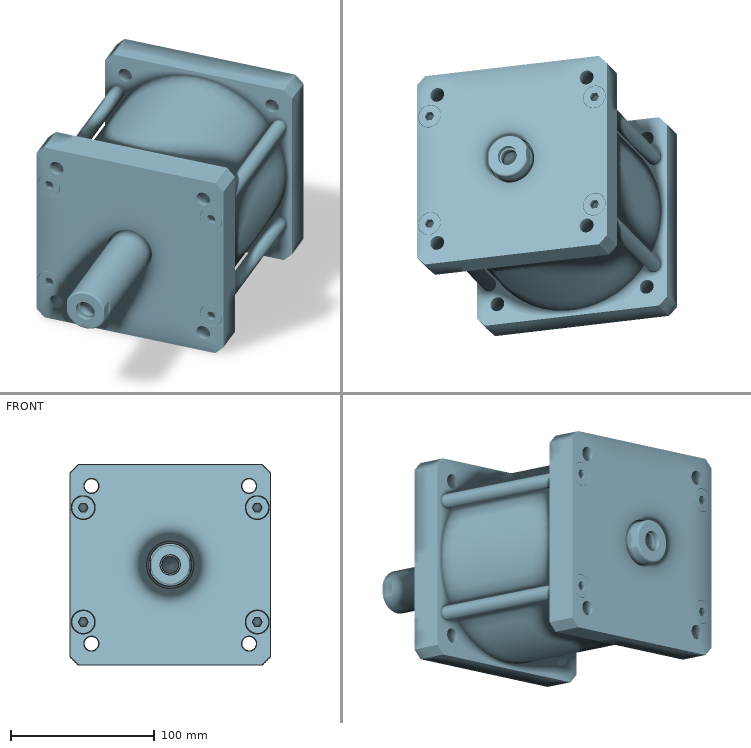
import cadquery as cq
import math


cover_size = 140.0
cover_thickness = 22.0
corner_chamfer = 6.0
barrel_length = 108.9
barrel_diameter = 132.0

mount_hole_diameter = 10.2
mount_hole_offset = 55.0

tie_rod_diameter = 10.0
tie_rod_x = 60.8
tie_rod_z = 40.0
screw_head_diameter = 16.0
screw_head_height = 10.0
counterbore_diameter = 16.5
socket_across_flats = 6.0
socket_depth = 5.0

rod_diameter = 30.0
rod_back_extension = 10.0
rod_front_extension = 85.0
rod_end_fillet = 1.5
rod_clearance_diameter = 33.0
rod_clearance_depth = 5.0

flats_across = 27.8
flat_length = 8.7

end_hole_diameter = 12.0
end_hole_mouth_diameter = 14.1
end_hole_mouth_depth = 4.0
end_hole_depth = 24.8
drill_point_angle = 118

cover_inner_y = barrel_length / 2
cover_outer_y = cover_inner_y + cover_thickness
rod_front_y = -cover_outer_y - rod_front_extension
rod_back_y = cover_outer_y + rod_back_extension
tie_rod_points = [(x, z) for x in (-tie_rod_x, tie_rod_x) for z in (-tie_rod_z, tie_rod_z)]


def plane_along_y(y, direction):
    """Workplane at height y whose local X is global X and whose normal is +Y or -Y."""
    return cq.Workplane(cq.Plane(origin=(0, y, 0), xDir=(1, 0, 0), normal=(0, direction, 0)))


def make_cover(inner_y, direction):
    mount_pitch = 2 * mount_hole_offset
    return (
        plane_along_y(inner_y, direction)
        .rect(cover_size, cover_size)
        .extrude(cover_thickness)
        .edges("|Y")
        .chamfer(corner_chamfer)
        .faces("<Y")
        .workplane(origin=(0, inner_y, 0))
        .rect(mount_pitch, mount_pitch, forConstruction=True)
        .vertices()
        .hole(mount_hole_diameter)
    )


def screw_cuts(outer_y, direction):
    """Gap around each flush screw head, and the hexagon socket in the head."""
    inward = plane_along_y(outer_y, -direction).pushPoints(tie_rod_points)
    head_gaps = inward.circle(counterbore_diameter / 2).circle(screw_head_diameter / 2).extrude(screw_head_height)
    socket_across_corners = socket_across_flats / math.cos(math.radians(30))
    sockets = inward.polygon(6, socket_across_corners).extrude(socket_depth)
    return head_gaps.union(sockets)


def rod_clearance(outer_y, direction):
    return (
        plane_along_y(outer_y, -direction)
        .circle(rod_clearance_diameter / 2)
        .circle(rod_diameter / 2)
        .extrude(rod_clearance_depth)
    )


def end_hole(end_y, direction):
    """Drilled hole with a wider, flat-bottomed mouth, revolved about the rod axis."""
    hole_radius = end_hole_diameter / 2
    mouth_radius = end_hole_mouth_diameter / 2
    point_length = hole_radius / math.tan(math.radians(drill_point_angle / 2))
    inward = -direction
    return (
        cq.Workplane("XY")
        .moveTo(0, end_y)
        .lineTo(mouth_radius, end_y)
        .lineTo(mouth_radius, end_y + inward * end_hole_mouth_depth)
        .lineTo(hole_radius, end_y + inward * end_hole_mouth_depth)
        .lineTo(hole_radius, end_y + inward * end_hole_depth)
        .lineTo(0, end_y + inward * (end_hole_depth + point_length))
        .close()
        .revolve(360, (0, 0, 0), (0, 1, 0))
    )


def wrench_flats(end_y, direction):
    """Material removed on the +X and -X sides of one rod end."""
    flat_x = flats_across / 2
    outside_x = rod_diameter / 2 + 2.5
    shoulder = outside_x - flat_x
    shoulder_y = end_y - direction * flat_length
    one_side = (
        cq.Workplane("XY")
        .moveTo(flat_x, end_y)
        .lineTo(flat_x, shoulder_y)
        .lineTo(outside_x, shoulder_y - direction * shoulder)
        .lineTo(outside_x, end_y)
        .close()
        .extrude(rod_diameter / 2, both=True)
    )
    return one_side.union(one_side.mirror("YZ"))


def make_piston_rod():
    rod = (
        plane_along_y(rod_front_y, 1)
        .circle(rod_diameter / 2)
        .extrude(rod_back_y - rod_front_y)
        .faces("<Y or >Y")
        .fillet(rod_end_fillet)
    )
    for end_y, direction in ((rod_front_y, -1), (rod_back_y, 1)):
        rod = rod.cut(wrench_flats(end_y, direction))
        rod = rod.cut(end_hole(end_y, direction))
    return rod


barrel = plane_along_y(-cover_inner_y, 1).circle(barrel_diameter / 2).extrude(barrel_length)
tie_rods = (
    plane_along_y(-cover_inner_y, 1)
    .pushPoints(tie_rod_points)
    .circle(tie_rod_diameter / 2)
    .extrude(barrel_length)
)

result = barrel.union(tie_rods)
for side in (-1, 1):
    result = result.union(make_cover(side * cover_inner_y, side))
    result = result.cut(screw_cuts(side * cover_outer_y, side))
    result = result.cut(rod_clearance(side * cover_outer_y, side))
result = result.union(make_piston_rod())